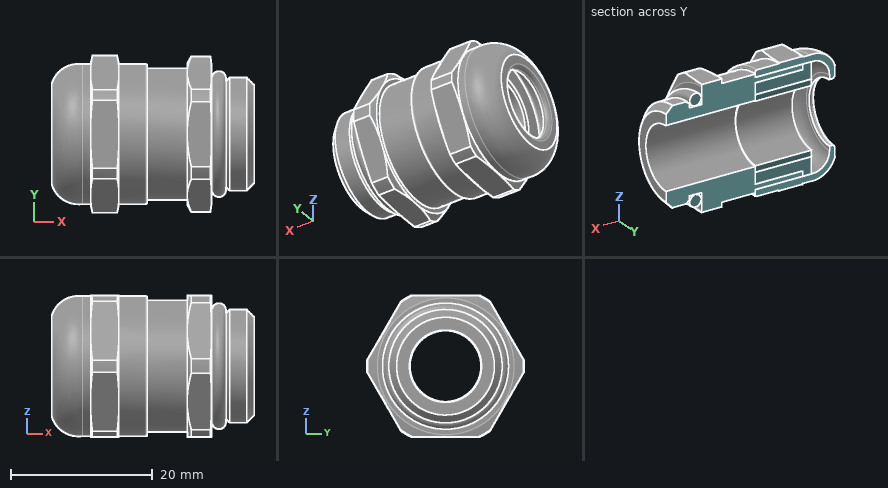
import cadquery as cq
import math


ACROSS_FLATS = 20.0
CAVITY_DIAMETER = 17.4
SEAL_DIAMETER = 12.0
SLEEVE_DIAMETER = 15.9

DOME_DIAMETER = 19.8
DOME_FACE_DIAMETER = 14.25
DOME_LENGTH = 4.35
DOME_RADIUS = 4.0
ENTRY_DIAMETER = 10.3
ENTRY_ROUND = 0.6
LIP_THICKNESS = 1.0
CAVITY_ROUND = 2.8
CAP_HEX_START = 5.5
CAP_HEX_END = 9.5
CAP_HEX_CORNER_DIAMETER = 22.2
CAP_HEX_BEVEL_DIAMETER = 20.0
CAP_HEX_BEVEL_LENGTH = 0.25
CAP_END = 13.5
COLLAR_ROUND = 0.25

CAGE_START = 4.0
CAGE_FLANGE_LENGTH = 1.5
SEAL_BORE = 10.0

SPIGOT_START = CAGE_START + CAGE_FLANGE_LENGTH
BARREL_DIAMETER = 18.6
BODY_BORE = 10.2
BODY_HEX_START = 19.15
BODY_HEX_END = 22.6
BODY_HEX_CORNER_DIAMETER = 22.0
BODY_HEX_FRONT_BEVEL_DIAMETER = 20.1
BODY_HEX_FRONT_BEVEL_LENGTH = 0.55
BODY_HEX_REAR_BEVEL_DIAMETER = 19.3
BODY_HEX_REAR_BEVEL_LENGTH = 0.2
THREAD_DIAMETER = 16.0
THREAD_LEAD_DIAMETER = 15.0
THREAD_LEAD = (THREAD_DIAMETER - THREAD_LEAD_DIAMETER) / 2
THREAD_TIP_DIAMETER = 13.8
THREAD_TIP_CHAMFER = (THREAD_DIAMETER - THREAD_TIP_DIAMETER) / 2
BODY_END = 28.6

RING_OUTER_DIAMETER = 17.8
RING_SECTION_DIAMETER = 2.0
GROOVE_DIAMETER = RING_OUTER_DIAMETER - 2 * RING_SECTION_DIAMETER
GROOVE_END = BODY_HEX_END + RING_SECTION_DIAMETER


def revolve_about_x(outline):
    """Turn a closed outline, drawn as (position along X, radius), around the X axis."""
    return outline.revolve(360, (0, 0, 0), (1, 0, 0))


def cylinder(start, end, diameter):
    return cq.Workplane("YZ", origin=(start, 0, 0)).circle(diameter / 2).extrude(end - start)


def tube(start, end, outer_diameter, inner_diameter):
    return cylinder(start, end, outer_diameter).cut(cylinder(start, end, inner_diameter))


def beveled_hexagon(start, end, corner_diameter, front_bevel, rear_bevel):
    """Hexagon with flats facing +Z and -Z, trimmed by a turned shape.

    Each bevel is a pair: the diameter at the end face and the length along X.
    """
    front_diameter, front_length = front_bevel
    rear_diameter, rear_length = rear_bevel
    across_corners = ACROSS_FLATS / math.cos(math.pi / 6)
    prism = cq.Workplane("YZ", origin=(start, 0, 0)).polygon(6, across_corners).extrude(end - start)
    envelope = revolve_about_x(
        cq.Workplane("XY")
        .moveTo(start, 0)
        .lineTo(start, front_diameter / 2)
        .lineTo(start + front_length, corner_diameter / 2)
        .lineTo(end - rear_length, corner_diameter / 2)
        .lineTo(end, rear_diameter / 2)
        .lineTo(end, 0)
        .close()
    )
    return prism.intersect(envelope)


def make_cap():
    dome = revolve_about_x(
        cq.Workplane("XY")
        .lineTo(0, DOME_FACE_DIAMETER / 2)
        .radiusArc((DOME_LENGTH, DOME_DIAMETER / 2), DOME_RADIUS)
        .lineTo(CAP_HEX_START, DOME_DIAMETER / 2)
        .lineTo(CAP_HEX_START, 0)
        .close()
    )
    bevel = (CAP_HEX_BEVEL_DIAMETER, CAP_HEX_BEVEL_LENGTH)
    hexagon = beveled_hexagon(CAP_HEX_START, CAP_HEX_END, CAP_HEX_CORNER_DIAMETER, bevel, bevel)
    collar = cylinder(CAP_HEX_END, CAP_END, DOME_DIAMETER).faces(">X").edges().fillet(COLLAR_ROUND)
    cavity = cylinder(LIP_THICKNESS, CAP_END, CAVITY_DIAMETER).faces("<X").edges().fillet(CAVITY_ROUND)
    entry = revolve_about_x(
        cq.Workplane("XY")
        .lineTo(0, ENTRY_DIAMETER / 2 + ENTRY_ROUND)
        .radiusArc((ENTRY_ROUND, ENTRY_DIAMETER / 2), -ENTRY_ROUND)
        .lineTo(LIP_THICKNESS, ENTRY_DIAMETER / 2)
        .lineTo(LIP_THICKNESS, 0)
        .close()
    )
    return dome.union(hexagon).union(collar).cut(cavity).cut(entry)


def make_cage():
    flange = tube(CAGE_START, SPIGOT_START, CAVITY_DIAMETER, SEAL_DIAMETER)
    sleeve = tube(SPIGOT_START, CAP_END, SLEEVE_DIAMETER, SEAL_DIAMETER)
    return flange.union(sleeve)


def make_seal():
    return tube(CAGE_START, CAP_END, SEAL_DIAMETER, SEAL_BORE)


def make_body():
    spigot = cylinder(SPIGOT_START, CAP_END, CAVITY_DIAMETER)
    barrel = cylinder(CAP_END, BODY_HEX_START, BARREL_DIAMETER)
    hexagon = beveled_hexagon(
        BODY_HEX_START,
        BODY_HEX_END,
        BODY_HEX_CORNER_DIAMETER,
        (BODY_HEX_FRONT_BEVEL_DIAMETER, BODY_HEX_FRONT_BEVEL_LENGTH),
        (BODY_HEX_REAR_BEVEL_DIAMETER, BODY_HEX_REAR_BEVEL_LENGTH),
    )
    groove_core = cylinder(BODY_HEX_END, GROOVE_END, GROOVE_DIAMETER)
    thread = revolve_about_x(
        cq.Workplane("XY")
        .moveTo(GROOVE_END, 0)
        .lineTo(GROOVE_END, THREAD_LEAD_DIAMETER / 2)
        .lineTo(GROOVE_END + THREAD_LEAD, THREAD_DIAMETER / 2)
        .lineTo(BODY_END - THREAD_TIP_CHAMFER, THREAD_DIAMETER / 2)
        .lineTo(BODY_END, THREAD_TIP_DIAMETER / 2)
        .lineTo(BODY_END, 0)
        .close()
    )
    bore = cylinder(CAP_END, BODY_END, BODY_BORE)
    sleeve_recess = cylinder(SPIGOT_START, CAP_END, SLEEVE_DIAMETER)
    solid = spigot.union(barrel).union(hexagon).union(groove_core).union(thread)
    return solid.cut(bore).cut(sleeve_recess)


def make_o_ring():
    center_x = (BODY_HEX_END + GROOVE_END) / 2
    center_radius = (RING_OUTER_DIAMETER - RING_SECTION_DIAMETER) / 2
    section = cq.Workplane("XY").center(center_x, center_radius).circle(RING_SECTION_DIAMETER / 2)
    return section.revolve(360, (0, -center_radius, 0), (1, -center_radius, 0))


cap = make_cap()
cage = make_cage()
seal = make_seal()
body = make_body()
o_ring = make_o_ring()

bodies = [cap, cage, seal, body, o_ring]
result = cq.Compound.makeCompound([part.solids().val() for part in bodies])